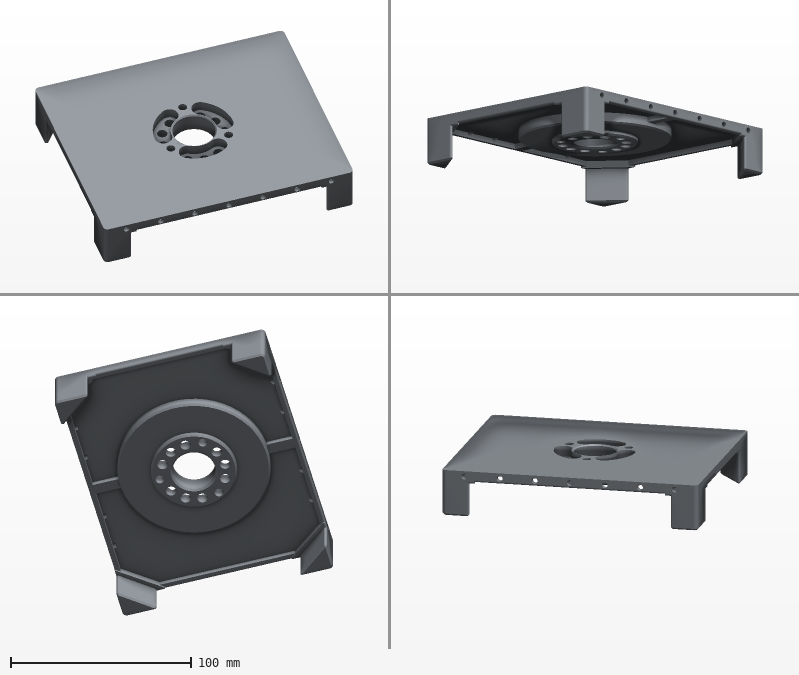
import cadquery as cq
import math

length_x = 121.0
length_y = 146.0
height = 26.0
corner_radius = 2.5
edge_break = 1.0

skin_depth = 3.0
plate_depth = 6.0
pad_depth = 7.0
disc_depth = 9.0
hub_depth = 11.5

rim_width = 3.0
rib_width = 6.0

disc_diameter = 85.0
hub_diameter = 48.0

leg_side_x = 21.0
leg_side_y = 16.6

pad_reach_x = 24.0
pad_reach_y = 18.7
pad_end_width = 1.2

bore_diameter = 24.0
bore_chamfer = 0.7
slot_circle_radius = 18.0
slot_width = 10.0
slot_depth = 6.0
slot_span = 60
slot_angles = (0, 120, 240)
outer_hole_offset_angle = 60
slot_hole_diameter = 5.8
outer_circle_radius = 19.5
outer_hole_diameter = 5.0

side_hole_count = 7
side_hole_pitch = 20.0
side_hole_diameter = 3.4
side_hole_z = -skin_depth
side_hole_depth = 4.4
drill_point_angle = 118


def polar(radius, angle):
    a = math.radians(angle)
    return radius * math.cos(a), radius * math.sin(a)


def plate():
    """Thin skin stiffened by a rim all round and one rib along X."""
    body = cq.Workplane("XY").rect(length_x, length_y).extrude(-plate_depth)
    body = body.edges("|Z").fillet(corner_radius).faces("<Z").edges().fillet(edge_break)
    pocket_x = length_x - 2 * rim_width
    pocket_y = (length_y - rib_width) / 2 - rim_width
    pocket_center = (rib_width + pocket_y) / 2
    pockets = (
        cq.Workplane("XY", origin=(0, 0, -plate_depth))
        .pushPoints([(0, pocket_center), (0, -pocket_center)])
        .rect(pocket_x, pocket_y)
        .extrude(plate_depth - skin_depth)
    )
    return body.cut(pockets)


def corner_prism(outline, depth):
    """Prism hanging from the top face; the outline is measured inward from the -X -Y corner."""
    corner = (-length_x / 2, -length_y / 2)
    prism = cq.Workplane("XY", origin=(*corner, 0)).polyline(outline).close().extrude(-depth)
    return prism.edges("|Z").edges("<X").edges("<Y").fillet(corner_radius)


def corner_pad():
    outline = [
        (0, 0),
        (pad_reach_x, 0),
        (pad_reach_x, pad_end_width),
        (pad_end_width, pad_reach_y),
        (0, pad_reach_y),
    ]
    pad = corner_prism(outline, pad_depth)
    return pad.faces("<Z").edges("<X or <Y").fillet(edge_break)


def corner_leg():
    leg = corner_prism([(0, 0), (leg_side_x, 0), (0, leg_side_y)], height)
    leg = leg.edges("|Z").edges(">X or >Y").fillet(edge_break)
    return leg.faces("<Z").chamfer(edge_break)


def at_four_corners(corner):
    pair = corner.union(corner.mirror("YZ"))
    return pair.union(pair.mirror("XZ"))


def round_boss(diameter, depth):
    boss = cq.Workplane("XY").circle(diameter / 2).extrude(-depth)
    return boss.faces("<Z").chamfer(edge_break)


def bore():
    """Round bore, flared at both ends."""
    radius = bore_diameter / 2
    top_flare = radius + bore_chamfer
    bottom_flare = radius + edge_break
    profile = [
        (0, 0),
        (top_flare, 0),
        (radius, -bore_chamfer),
        (radius, -hub_depth + edge_break),
        (bottom_flare, -hub_depth),
        (0, -hub_depth),
    ]
    return cq.Workplane("XZ").polyline(profile).close().revolve(360, (0, 0, 0), (0, 1, 0))


def curved_slot(middle_angle):
    """Round-ended slot that follows the slot circle."""
    start = middle_angle - slot_span / 2
    end = middle_angle + slot_span / 2
    cap_radius = slot_width / 2
    outer = slot_circle_radius + cap_radius
    inner = slot_circle_radius - cap_radius

    def cap_tip(angle, direction):
        center_x, center_y = polar(slot_circle_radius, angle)
        step_x, step_y = polar(cap_radius, direction)
        return center_x + step_x, center_y + step_y

    return (
        cq.Workplane("XY")
        .moveTo(*polar(outer, start))
        .threePointArc(polar(outer, middle_angle), polar(outer, end))
        .threePointArc(cap_tip(end, end + 90), polar(inner, end))
        .threePointArc(polar(inner, middle_angle), polar(inner, start))
        .threePointArc(cap_tip(start, start - 90), polar(outer, start))
        .close()
        .extrude(-slot_depth)
    )


def through_hole(radius, angle, diameter):
    return cq.Workplane("XY").center(*polar(radius, angle)).circle(diameter / 2).extrude(-hub_depth)


def side_holes():
    """Drilled holes with conical bottoms, entering from the -X side."""
    radius = side_hole_diameter / 2
    tip = radius / math.tan(math.radians(drill_point_angle / 2))
    outline = [(0, 0), (side_hole_depth + tip, 0), (side_hole_depth, radius), (0, radius)]
    drill = cq.Workplane("XY").polyline(outline).close().revolve(360, (0, 0, 0), (1, 0, 0))
    holes = cq.Workplane("XY")
    for i in range(side_hole_count):
        y = (i - (side_hole_count - 1) / 2) * side_hole_pitch
        holes = holes.add(drill.translate((-length_x / 2, y, side_hole_z)))
    return holes.combine()


body = plate()
body = body.union(at_four_corners(corner_pad()))
body = body.union(at_four_corners(corner_leg()))
body = body.union(round_boss(disc_diameter, disc_depth))
body = body.union(round_boss(hub_diameter, hub_depth))

body = body.cut(bore())
for slot_angle in slot_angles:
    body = body.cut(curved_slot(slot_angle))
    for hole_angle in (slot_angle - slot_span / 2, slot_angle, slot_angle + slot_span / 2):
        body = body.cut(through_hole(slot_circle_radius, hole_angle, slot_hole_diameter))
    outer_angle = slot_angle + outer_hole_offset_angle
    body = body.cut(through_hole(outer_circle_radius, outer_angle, outer_hole_diameter))

drilled = side_holes()
body = body.cut(drilled).cut(drilled.mirror("YZ"))

result = body